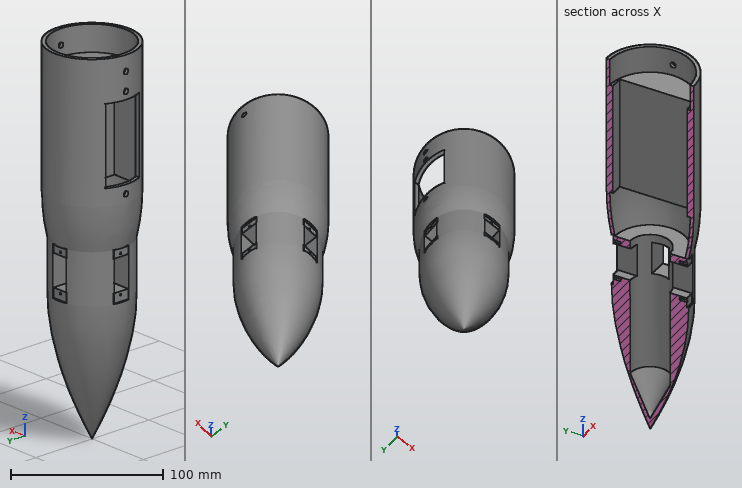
import cadquery as cq

total_height = 280.5
tube_bottom = 176.2
waist_top = 143.0
shoulder_mid = (tube_bottom + waist_top) / 2
waist_bottom = 105.0

tube_radius = 66.5 / 2
waist_radius = 29.5
shoulder_mid_radius = 32.3
nose_curve = [(27.5, 79.0), (23.0, 58.6), (13.0, 28.3), (0.0, 0.0)]

bore_radius = 30.3
floor_radius = 53.0 / 2
shoulder_wall = waist_radius - floor_radius
core_radius = 30.0 / 2
core_bottom = 39.3
core_tip = 8.5

shelf_top = 260.7
shelf_face_x = 9.0
flat_half_width = 28.0

window_width = 29.7
window_bottom = 189.0
window_top = 249.0
hole_diameter = 4.0
through_hole_z = 268.8
blind_hole_heights = [182.5, 254.8]

slot_width = 13.0
slot_bottom = 112.2
slot_top = 136.6
seat_distance = 28.0
screw_diameter = 1.3
screw_depth = 5.5
screw_heights = [109.7, 139.0]


def box_between(x_min, x_max, width, z_min, z_max):
    """Box centred on Y, spanning the given X and Z ranges."""
    box = cq.Workplane("XY").box(x_max - x_min, width, z_max - z_min, centered=(False, True, False))
    return box.translate((x_min, 0, z_min))


def x_rod(diameter, x_min, x_max, z):
    """Round rod along X at the given height."""
    return cq.Workplane("YZ", origin=(x_min, 0, z)).circle(diameter / 2).extrude(x_max - x_min)


def revolve_about_z(outline):
    return outline.close().revolve(360, (0, 0, 0), (0, 1, 0))


def outer_body():
    outline = (
        cq.Workplane("XZ")
        .moveTo(0, total_height)
        .lineTo(tube_radius, total_height)
        .lineTo(tube_radius, tube_bottom)
        .threePointArc((shoulder_mid_radius, shoulder_mid), (waist_radius, waist_top))
        .lineTo(waist_radius, waist_bottom)
        .spline(nose_curve, includeCurrent=True)
    )
    return revolve_about_z(outline)


def cavity():
    outline = (
        cq.Workplane("XZ")
        .moveTo(0, total_height)
        .lineTo(bore_radius, total_height)
        .lineTo(bore_radius, tube_bottom)
        .threePointArc((shoulder_mid_radius - shoulder_wall, shoulder_mid), (floor_radius, waist_top))
        .lineTo(core_radius, waist_top)
        .lineTo(core_radius, core_bottom)
        .lineTo(0, core_tip)
    )
    return revolve_about_z(outline)


def shelf_insert():
    """Block filling the +X part of the bore, joined to a flat wall on each side."""
    insert = cq.Workplane("XY").workplane(offset=tube_bottom).circle((tube_radius + bore_radius) / 2)
    insert = insert.extrude(shelf_top - tube_bottom)
    opening = box_between(-tube_radius, shelf_face_x, 2 * flat_half_width, tube_bottom, shelf_top)
    return insert.cut(opening)


def cut_tube_openings(body):
    body = body.cut(box_between(-tube_radius, 0, window_width, window_bottom, window_top))
    body = body.cut(x_rod(hole_diameter, -tube_radius, tube_radius, through_hole_z))
    for z in blind_hole_heights:
        body = body.cut(x_rod(hole_diameter, -tube_radius, 0, z))
    return body


def waist_side_cutter():
    """Slot, flat seat and screw holes for the +X side of the waist."""
    cutter = box_between(0, waist_radius, slot_width, slot_bottom, slot_top)
    cutter = cutter.union(box_between(seat_distance, waist_radius, slot_width, waist_bottom, waist_top))
    for z in screw_heights:
        cutter = cutter.union(x_rod(screw_diameter, seat_distance - screw_depth, waist_radius, z))
    return cutter


body = outer_body().cut(cavity()).union(shelf_insert())
body = cut_tube_openings(body)
for angle in (0, 90, 180, 270):
    body = body.cut(waist_side_cutter().rotate((0, 0, 0), (0, 0, 1), angle))

result = body